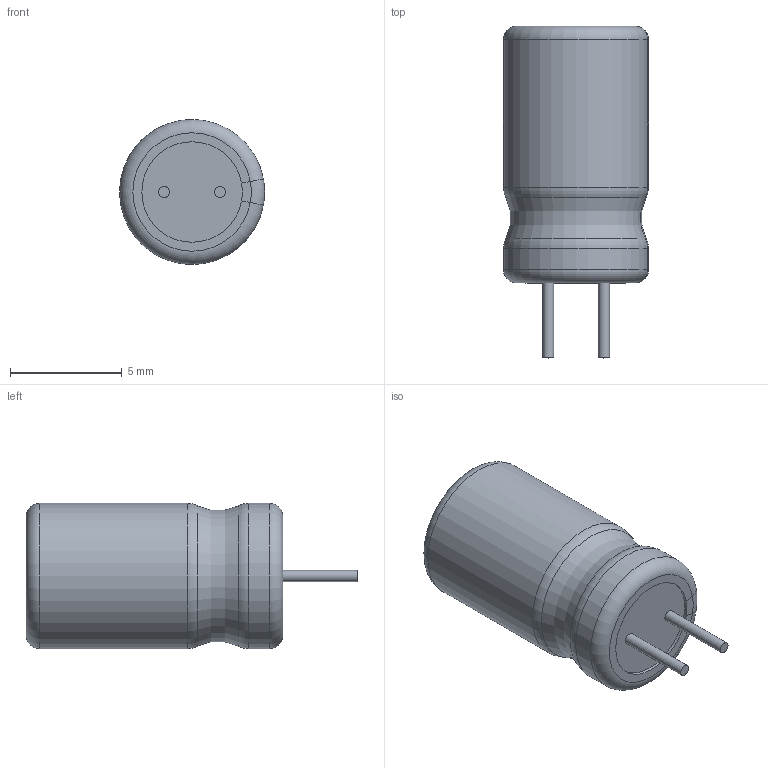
import cadquery as cq
import math


can_diameter = 6.5
can_length = 11.5
rim_radius = 0.6
can_radius = can_diameter / 2

crimp_center = 2.91
crimp_depth = 0.33
crimp_arc_radius = 2.0
shoulder_radius = 1.0

seal_radius = 2.25
seal_depth = 0.14
seal_thickness = 1.0
seal_inner_face = seal_depth + seal_thickness

stripe_angle = 20.6
full_turn = 360

lead_diameter = 0.5
lead_pitch = 2.5
lead_length = 3.36

arc_radii_sum = crimp_arc_radius + shoulder_radius
crimp_angle = math.acos(1 - crimp_depth / arc_radii_sum)


def shoulder_point(angle, side):
    """Point on a shoulder arc; angle 0 is where it leaves the can wall."""
    shoulder_center = crimp_center + side * arc_radii_sum * math.sin(crimp_angle)
    radius = can_radius - shoulder_radius * (1 - math.cos(angle))
    return (radius, shoulder_center - side * shoulder_radius * math.sin(angle))


def rim_point(rim_plane, outward):
    """Middle of the quarter-round rim at an end plane of the can."""
    inset = rim_radius * (1 - math.sqrt(0.5))
    return (can_radius - inset, rim_plane - outward * inset)


def can_profile():
    """Half section of the can with the bore for the seal: X is the radius, Y the axis."""
    return (
        cq.Workplane("XY")
        .moveTo(0, seal_inner_face)
        .lineTo(seal_radius, seal_inner_face)
        .lineTo(seal_radius, 0)
        .lineTo(can_radius - rim_radius, 0)
        .threePointArc(rim_point(0, -1), (can_radius, rim_radius))
        .lineTo(*shoulder_point(0, -1))
        .threePointArc(shoulder_point(crimp_angle / 2, -1), shoulder_point(crimp_angle, -1))
        .threePointArc((can_radius - crimp_depth, crimp_center), shoulder_point(crimp_angle, 1))
        .threePointArc(shoulder_point(crimp_angle / 2, 1), shoulder_point(0, 1))
        .lineTo(can_radius, can_length - rim_radius)
        .threePointArc(rim_point(can_length, 1), (can_radius - rim_radius, can_length))
        .lineTo(0, can_length)
        .close()
    )


def can_sector(start_angle, sweep_angle):
    """Sector of the can, measured about +Y from the +X direction."""
    sector = can_profile().revolve(sweep_angle, (0, 0), (0, 1))
    return sector.rotate((0, 0, 0), (0, 1, 0), start_angle)


def seal():
    """Disc that fills the bore, leaving a shallow recess in the base."""
    disc = cq.Workplane("XZ", origin=(0, seal_inner_face, 0))
    return disc.circle(seal_radius).extrude(seal_thickness)


def leads():
    """Two round leads, from the seal face to their free ends."""
    return (
        cq.Workplane("XZ", origin=(0, seal_depth, 0))
        .pushPoints([(-lead_pitch / 2, 0), (lead_pitch / 2, 0)])
        .circle(lead_diameter / 2)
        .extrude(seal_depth + lead_length)
    )


stripe = can_sector(-stripe_angle / 2, stripe_angle)
sleeve = can_sector(stripe_angle / 2, full_turn - stripe_angle)
can = sleeve.union(stripe, clean=False)
sealed_can = can.union(seal(), clean=False)
result = sealed_can.union(leads(), clean=False)